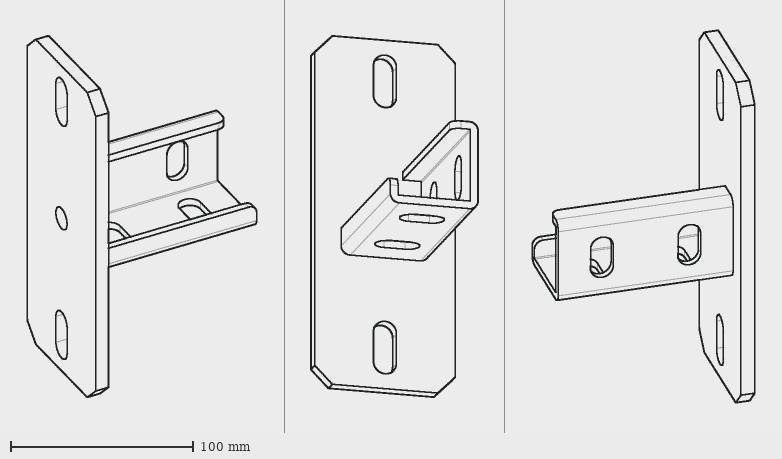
import cadquery as cq

plate_width = 80.0
plate_height = 200.0
plate_thickness = 8.0
plate_corner_cut = 10.0
hole_diameter = 13.0
plate_slot_length = 30.0
plate_slot_offset = 76.5

arm_size = 50.0
arm_length = 100.0
sheet_thickness = 4.5
bend_outer_radius = 5.0
bend_inner_radius = bend_outer_radius - sheet_thickness
lip_width = 15.0
lip_corner_radius = 5.0
arm_slot_length = 25.0
arm_slot_width = 13.0
arm_slot_pitch = arm_length / 2
first_arm_slot = plate_thickness + arm_slot_pitch / 2
arm_slot_positions = [first_arm_slot, first_arm_slot + arm_slot_pitch]


def make_plate():
    """Plate with cut corners, a central hole and two vertical slots."""
    plate = (
        cq.Workplane("XY")
        .box(plate_width, plate_thickness, plate_height)
        .edges("|Y")
        .chamfer(plate_corner_cut)
        .translate((0, plate_thickness / 2, 0))
    )
    openings = (
        cq.Workplane("XZ")
        .circle(hole_diameter / 2)
        .pushPoints([(0, -plate_slot_offset), (0, plate_slot_offset)])
        .slot2D(plate_slot_length, hole_diameter, 90)
        .extrude(-plate_thickness)
    )
    return plate.cut(openings)


def make_arm_blank():
    """Sheet with a left web, a bottom web and a short lip folded from each."""
    half = arm_size / 2
    inner_half = half - sheet_thickness
    lip_end = lip_width - half
    arm_end = plate_thickness + arm_length

    outer = (
        cq.Workplane("XZ", origin=(0, plate_thickness, 0))
        .rect(arm_size, arm_size)
        .extrude(-arm_length)
    )
    outer = outer.edges("|Y").fillet(bend_outer_radius)
    cavity = (
        cq.Workplane("XZ", origin=(0, plate_thickness, 0))
        .rect(2 * inner_half, 2 * inner_half)
        .extrude(-arm_length)
        .edges("|Y")
        .fillet(bend_inner_radius)
    )
    opening_size = half - lip_end
    opening = cq.Workplane("XY").box(opening_size, arm_length, opening_size, centered=False)
    opening = opening.translate((lip_end, plate_thickness, lip_end))
    blank = outer.cut(cavity).cut(opening)

    top_lip_corner = cq.NearestToPointSelector((lip_end, arm_end, half - sheet_thickness / 2))
    side_lip_corner = cq.NearestToPointSelector((half - sheet_thickness / 2, arm_end, lip_end))
    blank = blank.edges("|Z").edges(top_lip_corner).fillet(lip_corner_radius)
    return blank.edges("|X").edges(side_lip_corner).fillet(lip_corner_radius)


def make_arm():
    """Arm with two slots through the left web and two through the bottom web."""
    arm = make_arm_blank()
    for slot_y in arm_slot_positions:
        web_slot = (
            cq.Workplane("YZ", origin=(-arm_size / 2, slot_y, 0))
            .slot2D(arm_slot_length, arm_slot_width, 90)
            .extrude(sheet_thickness)
        )
        bottom_slot = (
            cq.Workplane("XY", origin=(0, slot_y, -arm_size / 2))
            .slot2D(arm_slot_length, arm_slot_width)
            .extrude(sheet_thickness)
        )
        arm = arm.cut(web_slot).cut(bottom_slot)
    return arm


plate = make_plate()
arm = make_arm()

result = cq.Compound.makeCompound([plate.val(), *arm.vals()])